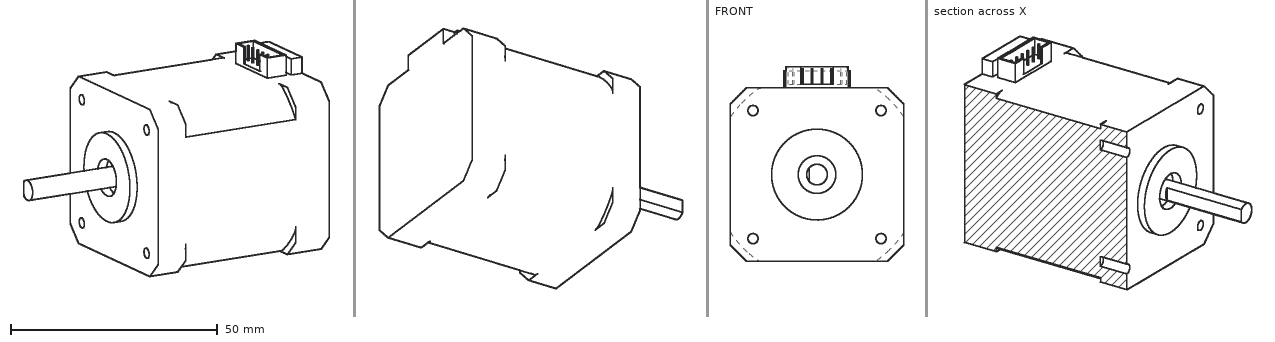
import cadquery as cq
import math


side = 42.0
half_side = side / 2
front_cap_length = 7.8
stack_length = 30.75
rear_cap_length = 9.5
stack_start = front_cap_length
rear_cap_start = stack_start + stack_length
rear_end = rear_cap_start + rear_cap_length

cap_chamfer = 4.0
cap_edge_radius = 0.3

stack_flat_half = 13.0
stack_blend_diameter = 5.85
stack_blend_radius = stack_blend_diameter / 2
edge_margin = 0.7

boss_diameter = 22.0
boss_length = 2.0
recess_diameter = 9.1
recess_depth = 2.45
mount_hole_diameter = 2.45
mount_hole_spacing = 31.0

shaft_diameter = 5.0
shaft_flat_offset = 1.9
overall_length = 72.35
shaft_tip = rear_end - overall_length
shaft_flat_start = -2.3

block_width = 16.0
block_depth = 3.1
block_height = 4.05

socket_width = 15.05
socket_depth = 5.2
socket_height = 5.1
socket_side_wall = 0.4
socket_back_wall = 0.65
socket_front_wall = 0.4
socket_floor = 0.9
window_width = 7.8

pin_count = 6
pin_pitch = 2.3
pin_size = 0.35
pin_top_gap = 0.5
pin_from_rear = 7.1


def box(width, y_start, y_end, z_start, z_end, x_center=0):
    """Block centred on x_center in X, between the given Y and Z limits."""
    depth = y_end - y_start
    height = z_end - z_start
    center = (x_center, y_start + depth / 2, z_start + height / 2)
    return cq.Workplane("XY").box(width, depth, height).translate(center)


def plane_at(y):
    """Workplane facing +Y, so that extrusions run towards the rear."""
    return cq.Workplane("XZ", origin=(0, y, 0)).transformed(rotate=(0, 180, 0))


def end_cap(y_start, length):
    """Square cap with chamfered corners and slightly rounded chamfer edges."""
    cap = plane_at(y_start).rect(side, side).extrude(length)
    return cap.edges("|Y").chamfer(cap_chamfer).edges("|Y").fillet(cap_edge_radius)


def stack():
    """Lamination stack: flats blended into corner arcs centred on the shaft axis.

    The upper edge of the +X flat is the only one left sharp.
    """
    blend_center = half_side - stack_blend_radius
    corner_radius = math.hypot(stack_flat_half, blend_center) + stack_blend_radius
    round_body = plane_at(stack_start).circle(corner_radius).extrude(stack_length)
    square_body = plane_at(stack_start).rect(side, side).extrude(stack_length)
    body = round_body.intersect(square_body)
    upper_right = cq.selectors.BoxSelector(
        (half_side - edge_margin, stack_start, 0),
        (half_side + edge_margin, rear_cap_start, half_side),
    )
    blended_edges = cq.selectors.StringSyntaxSelector("|Y") - upper_right
    return body.edges(blended_edges).fillet(stack_blend_radius)


def shaft():
    """Round shaft with a flat running out to its tip."""
    radius = shaft_diameter / 2
    rod = plane_at(shaft_tip).circle(radius).extrude(stack_start - shaft_tip)
    flat_cut = box(radius, shaft_tip, shaft_flat_start, -radius, radius, -shaft_flat_offset - radius / 2)
    return rod.cut(flat_cut)


def socket():
    """Open-topped connector socket with a front window and a row of pins."""
    front = rear_cap_start
    back = front + socket_depth
    floor = half_side + socket_floor
    top = half_side + socket_height
    cavity_front = front + socket_front_wall
    shell = box(socket_width, front, back, half_side, top)
    cavity_width = socket_width - 2 * socket_side_wall
    shell = shell.cut(box(cavity_width, cavity_front, back - socket_back_wall, floor, top))
    shell = shell.cut(box(window_width, front, cavity_front, floor, top))
    pin_y = rear_end - pin_from_rear
    for index in range(pin_count):
        pin_x = (index - (pin_count - 1) / 2) * pin_pitch
        pin = box(pin_size, pin_y - pin_size / 2, pin_y + pin_size / 2, half_side, top - pin_top_gap, pin_x)
        shell = shell.union(pin)
    return shell


boss = plane_at(-boss_length).circle(boss_diameter / 2).extrude(boss_length)
recess = plane_at(-boss_length).circle(recess_diameter / 2).extrude(recess_depth)
mount_holes = (
    plane_at(0)
    .rect(mount_hole_spacing, mount_hole_spacing, forConstruction=True)
    .vertices()
    .circle(mount_hole_diameter / 2)
    .extrude(front_cap_length)
)
front_cap = end_cap(0, front_cap_length).union(boss).cut(recess).cut(mount_holes)

block = box(block_width, rear_end - block_depth, rear_end, half_side, half_side + block_height)
rear_cap = end_cap(rear_cap_start, rear_cap_length).union(block).union(socket())

result = front_cap.union(shaft()).union(stack(), clean=False).union(rear_cap, clean=False)